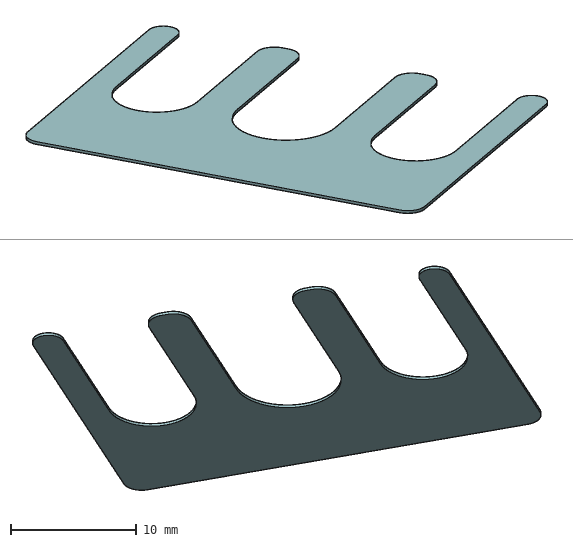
import cadquery as cq

width = 35.05
depth = 25.4
thickness = 0.25
corner_radius = 1.5
outer_tip_radius = 1.25

slot_center_height = 12.7
middle_slot_radius = 4.3
side_slot_radius = 3.58

half_width = width / 2
outer_finger_width = 2 * outer_tip_radius
outer_finger_inside = half_width - outer_finger_width
side_slot_center = outer_finger_inside - side_slot_radius
inner_finger_outside = side_slot_center - side_slot_radius
inner_finger_inside = middle_slot_radius

outer_shoulder = depth - outer_tip_radius
inner_shoulder = depth - corner_radius

half_plate = (
    cq.Workplane("XY")
    .lineTo(half_width - corner_radius, 0)
    .radiusArc((half_width, corner_radius), -corner_radius)
    .lineTo(half_width, outer_shoulder)
    .threePointArc((half_width - outer_tip_radius, depth), (outer_finger_inside, outer_shoulder))
    .lineTo(outer_finger_inside, slot_center_height)
    .threePointArc(
        (side_slot_center, slot_center_height - side_slot_radius),
        (inner_finger_outside, slot_center_height),
    )
    .lineTo(inner_finger_outside, inner_shoulder)
    .radiusArc((inner_finger_outside - corner_radius, depth), -corner_radius)
    .lineTo(inner_finger_inside + corner_radius, depth)
    .radiusArc((inner_finger_inside, inner_shoulder), -corner_radius)
    .lineTo(inner_finger_inside, slot_center_height)
    .radiusArc((0, slot_center_height - middle_slot_radius), middle_slot_radius)
    .close()
    .extrude(thickness)
)

result = half_plate.union(half_plate.mirror("YZ")).clean()